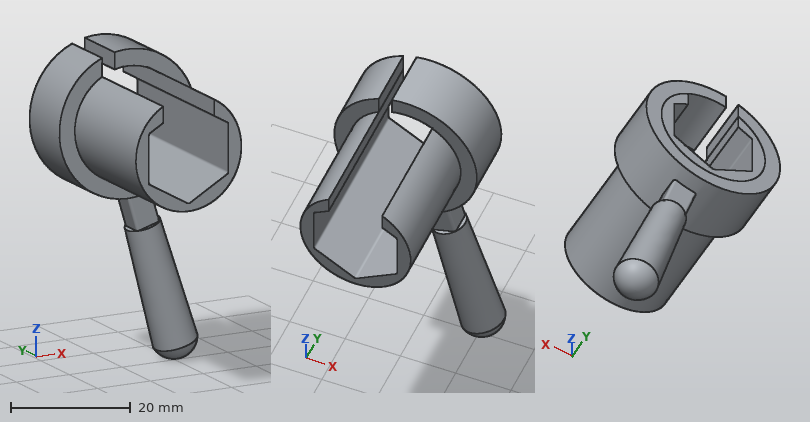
import cadquery as cq
import math

total_depth = 32.0
socket_radius = 10.0
hex_across_flats = 15.05
hex_across_corners = hex_across_flats / math.cos(math.radians(30))
hex_corner_radius = 0.5
slot_width = 9.65

collar_radius = 12.9
collar_depth = 10.55
gap_width = 2.35
gap_left = -slot_width / 2

lever_lean = 16.4
lever_y = -collar_depth / 2
stem_width = 4.5
stem_corner_radius = 0.5
grip_start = 19.9
grip_end = 41.9
grip_start_radius = 3.1
grip_end_radius = 3.85
dome_height = 3.0


def rod_along_y(radius, depth):
    """Cylinder on the Y axis, from y = 0 toward -Y."""
    return cq.Workplane("XZ").circle(radius).extrude(depth)


def place_lever(shape):
    """Turn a shape built along +Z into the lever's leaning, downward place."""
    turned = shape.rotate((0, 0, 0), (0, 1, 0), 180 - lever_lean)
    return turned.translate((0, lever_y, 0))


def make_socket():
    hexagon = (
        cq.Workplane("XZ")
        .polygon(6, hex_across_corners)
        .extrude(total_depth)
        .edges("|Y")
        .fillet(hex_corner_radius)
        .rotate((0, 0, 0), (0, 1, 0), 30)
    )
    slot = cq.Workplane("XY").box(
        slot_width, total_depth, socket_radius, centered=(True, False, False)
    ).translate((0, -total_depth, 0))
    return rod_along_y(socket_radius, total_depth).cut(hexagon).cut(slot)


def make_collar():
    """Split ring with the lever's stem in one piece."""
    stem = place_lever(
        cq.Workplane("XY")
        .rect(stem_width, stem_width)
        .extrude(grip_start)
        .edges("|Z")
        .fillet(stem_corner_radius)
    )
    bore = rod_along_y(socket_radius, collar_depth)
    gap = cq.Workplane("XY").box(
        gap_width, collar_depth, collar_radius, centered=False
    ).translate((gap_left, -collar_depth, 0))
    return rod_along_y(collar_radius, collar_depth).union(stem).cut(bore).cut(gap)


def make_grip():
    """Tapered handle with a rounded end, revolved about the lever axis."""
    dome_radius = (grip_end_radius**2 + dome_height**2) / (2 * dome_height)
    dome_centre = grip_end + dome_height - dome_radius
    half_angle = math.atan2(grip_end_radius, grip_end - dome_centre) / 2
    dome_middle = (
        dome_radius * math.sin(half_angle),
        dome_centre + dome_radius * math.cos(half_angle),
    )
    return place_lever(
        cq.Workplane("XZ")
        .moveTo(0, grip_start)
        .lineTo(grip_start_radius, grip_start)
        .lineTo(grip_end_radius, grip_end)
        .threePointArc(dome_middle, (0, grip_end + dome_height))
        .close()
        .revolve(360, (0, 0, 0), (0, 1, 0))
    )


socket = make_socket()
collar = make_collar()
grip = make_grip()

result = cq.Compound.makeCompound([socket.val(), collar.val(), grip.val()])